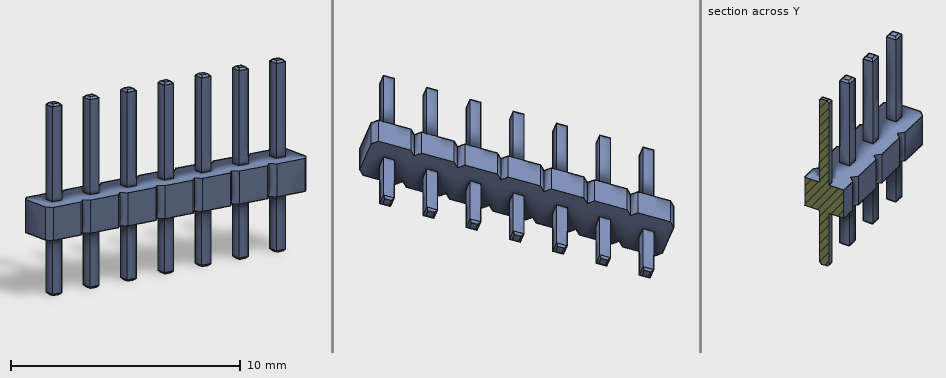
import cadquery as cq

pin_count = 7
pitch = 2.0
body_width = 2.0
body_height = 1.5
body_chamfer = 0.25

pin_side = 0.5
pin_above = 4.4
pin_below = 2.8
tip_chamfer = 0.1

pin_length = pin_below + body_height + pin_above
pin_positions = [(0, (i - (pin_count - 1) / 2) * pitch) for i in range(pin_count)]


def make_body():
    """Row of octagonal cells; the chamfers form V notches between neighbours."""
    body = cq.Workplane("XY")
    for x, y in pin_positions:
        cell = (
            cq.Workplane("XY")
            .box(body_width, pitch, body_height, centered=(True, True, False))
            .edges("|Z")
            .chamfer(body_chamfer)
            .translate((x, y, 0))
        )
        body = body.union(cell)
    return body.clean()


def make_pin():
    """Square pin with all four edges chamfered at both tips."""
    return (
        cq.Workplane("XY")
        .workplane(offset=-pin_below)
        .box(pin_side, pin_side, pin_length, centered=(True, True, False))
        .faces("<Z or >Z")
        .chamfer(tip_chamfer)
    )


result = make_body()
pin = make_pin()
for x, y in pin_positions:
    result = result.union(pin.translate((x, y, 0)))